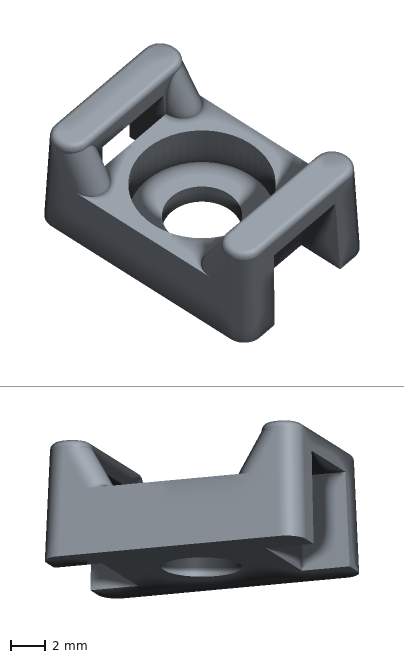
import cadquery as cq
import math

length = 16.26
width = 10.93
height = 7.1
draft = 2.0
draft_slope = math.tan(math.radians(draft))

block_height = 4.0
corner_radius = 1.2
screw_hole_diameter = 4.7
counterbore_diameter = 8.63
seat_height = 1.3

bar_base_width = 2.99
bar_top_round = 0.39
channel_height = 5.67
channel_base_width = 5.89
leg_lean = 30.0
leg_base_x = 5.22
web_depth = 1.38

bar_inner_x = length / 2 - bar_base_width
round_start_height = height - bar_top_round
bar_corner_x = bar_inner_x + draft_slope * round_start_height + corner_radius
lean_slope = math.tan(math.radians(leg_lean))


def drafted_block(size_x, size_y, size_z, center_x=0):
    """Box with round upright corners whose walls lean inward by the draft."""
    return (
        cq.Workplane("XY")
        .center(center_x, 0)
        .rect(size_x, size_y)
        .extrude(size_z, taper=draft)
        .edges("not(#Z)")
        .edges("not(|X or |Y)")
        .fillet(corner_radius)
    )


def end_bar():
    """Upright wall at the +X end with a rounded top rim."""
    center_x = length / 2 - bar_base_width / 2
    bar = drafted_block(bar_base_width, width, height, center_x)
    return bar.faces(">Z").edges().fillet(bar_top_round)


def leg():
    """Round leg at the +X, +Y corner, leaning outward from the block into the bar."""
    wall_offset = corner_radius / math.cos(math.radians(draft))
    base_y = width / 2 - draft_slope * block_height - wall_offset
    axis = cq.Vector(lean_slope, -draft_slope, 1)
    start = cq.Vector(leg_base_x, base_y, block_height) - axis * block_height
    cylinder = cq.Solid.makeCylinder(corner_radius, 2 * height, start, axis)
    trim = cq.Workplane("XY").box(
        bar_corner_x, width, round_start_height - block_height, centered=False
    ).translate((0, 0, block_height))
    return trim.intersect(cq.Workplane(cylinder))


def leg_web():
    """Flat fill at the +X, +Y corner, flush with the side wall, between the leg's axis and the bar."""
    web_top = block_height + (bar_corner_x - leg_base_x) / lean_slope
    web = (
        cq.Workplane("XZ", origin=(0, width / 2, 0))
        .moveTo(leg_base_x, block_height)
        .lineTo(bar_corner_x, block_height)
        .lineTo(bar_corner_x, web_top)
        .close()
        .extrude(web_depth)
    )
    return web.intersect(drafted_block(length, width, height))


def strap_channel():
    """Void under the +X bar: drafted sides, with an end wall in line with the bar's inner face."""
    channel_top_width = channel_base_width - 2 * draft_slope * channel_height
    opening = (
        cq.Workplane("YZ")
        .moveTo(-channel_base_width / 2, 0)
        .lineTo(channel_base_width / 2, 0)
        .lineTo(channel_top_width / 2, channel_height)
        .lineTo(-channel_top_width / 2, channel_height)
        .close()
        .extrude(length)
    )
    profile = (
        cq.Workplane("XZ")
        .moveTo(bar_inner_x, 0)
        .lineTo(length, 0)
        .lineTo(length, channel_height)
        .lineTo(bar_inner_x + draft_slope * channel_height, channel_height)
        .close()
        .extrude(width / 2, both=True)
    )
    return opening.intersect(profile)


def at_both_ends(shape):
    return shape.union(shape.mirror("YZ"))


corner_leg = leg().union(leg_web())
legs_at_end = corner_leg.union(corner_leg.mirror("XZ"))

result = drafted_block(length, width, block_height)
result = result.union(at_both_ends(end_bar()))
result = result.union(at_both_ends(legs_at_end))
result = result.cut(at_both_ends(strap_channel()))

screw_hole = cq.Workplane("XY").circle(screw_hole_diameter / 2).extrude(block_height)
counterbore = (
    cq.Workplane("XY")
    .workplane(offset=seat_height)
    .circle(counterbore_diameter / 2)
    .extrude(block_height - seat_height)
)
result = result.cut(screw_hole).cut(counterbore)